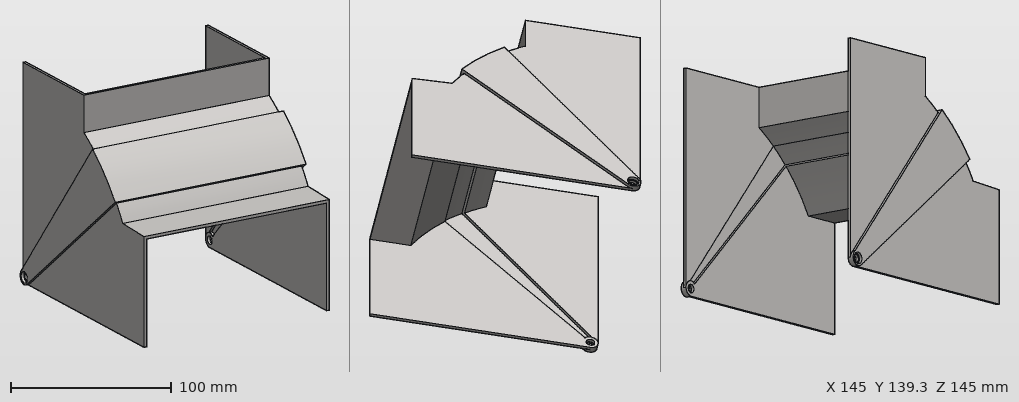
import cadquery as cq
import math

length = 145.0
width = 139.3
wall = 2.0
channel_depth = 73.1
lower_step_height = 74.2
tab_radius = 5.0
hole_radius = 2.68
counterbore_radius = 3.6
shell_radius = 134.0
band_radius = 136.3
band_low_angle = 39.0
band_high_angle = 51.0
seam_angle = 45.5
upper_edge_offset = 3.8

shell_width = width - 2 * wall
inner_width = shell_width - 2 * wall
shell_inner_radius = shell_radius - wall
hinge = (tab_radius, tab_radius)


def polar(radius, angle):
    """Point at a radius and an angle in degrees about the hinge axis, as (X, Z)."""
    a = math.radians(angle)
    return (hinge[0] + radius * math.cos(a), hinge[1] + radius * math.sin(a))


def edge_point(radius, direction, offset):
    """Where a line at a signed offset from the hinge axis meets a circle about that axis."""
    return polar(radius, direction + math.degrees(math.asin(offset / radius)))


def angle_of(point):
    """Angle in degrees of an (X, Z) point about the hinge axis."""
    return math.degrees(math.atan2(point[1] - hinge[1], point[0] - hinge[0]))


def arc_between(sketch, radius, start, end):
    """Continue a sketch with an arc about the hinge axis from start to end."""
    middle = polar(radius, (angle_of(start) + angle_of(end)) / 2)
    return sketch.threePointArc(middle, end)


def profile_at(x, z):
    return cq.Workplane("XZ").moveTo(x, z)


def slab(sketch, depth):
    """Close a sketch and extrude it symmetrically about the XZ plane."""
    return sketch.close().extrude(depth / 2, both=True)


def cylinder(radius, depth):
    return cq.Workplane("XZ").center(*hinge).circle(radius).extrude(depth / 2, both=True)


def upper_profile(roof_x, radius, depth):
    """Upper shell outline, bounded by the front wall at roof_x and by the curved wall."""
    corner = (roof_x, hinge[1] + math.sqrt(radius**2 - (roof_x - hinge[0]) ** 2))
    edge_end = edge_point(radius, band_high_angle, upper_edge_offset)
    edge_start = polar(upper_edge_offset, band_high_angle + 90)
    sketch = profile_at(0, hinge[1]).lineTo(0, length).lineTo(roof_x, length).lineTo(*corner)
    sketch = arc_between(sketch, radius, corner, edge_end)
    return slab(sketch.lineTo(*edge_start), depth)


def lower_profile(step_z, end_z, radius, depth):
    """Lower shell outline; its roof runs from step_z at the curved wall to end_z at the far end."""
    corner = (hinge[0] + math.sqrt(radius**2 - (step_z - hinge[1]) ** 2), step_z)
    seam_end = polar(radius, seam_angle)
    sketch = profile_at(hinge[0], 0).lineTo(length, 0).lineTo(length, end_z)
    sketch = arc_between(sketch.lineTo(*corner), radius, corner, seam_end)
    return slab(sketch.lineTo(*hinge), depth)


def band_profile(radius, depth):
    """Overlap band: a sector whose straight edges run tangent to the hinge tab."""
    low_start = polar(tab_radius, band_low_angle - 90)
    low_end = edge_point(radius, band_low_angle, -tab_radius)
    high_end = edge_point(radius, band_high_angle, tab_radius)
    high_start = polar(tab_radius, band_high_angle + 90)
    sketch = profile_at(*low_start).lineTo(*low_end)
    sketch = arc_between(sketch, radius, low_end, high_end).lineTo(*high_start)
    tab_back = polar(tab_radius, (band_low_angle + band_high_angle) / 2 + 180)
    return slab(sketch.threePointArc(tab_back, low_start), depth)


def make_upper_shell():
    """Upper channel, cut away around the hinge tabs of the lower shell."""
    outside = upper_profile(channel_depth, shell_radius, shell_width)
    inside = upper_profile(channel_depth - wall, shell_inner_radius, inner_width)
    return outside.cut(inside).cut(cylinder(tab_radius, width))


def make_lower_shell():
    """Lower channel with the overlap band outside it and a stepped hinge hole each side."""
    outside = lower_profile(lower_step_height, channel_depth, shell_radius, shell_width)
    outside = outside.union(cylinder(tab_radius, shell_width))
    ceiling = channel_depth - wall
    inside = lower_profile(ceiling, ceiling, shell_inner_radius, inner_width)
    inside = inside.union(cylinder(tab_radius, inner_width))
    channel = outside.cut(inside)
    band = band_profile(band_radius, width).cut(cylinder(shell_radius, shell_width))
    counterbores = cylinder(counterbore_radius, width).cut(cylinder(counterbore_radius, shell_width))
    return channel.union(band).cut(cylinder(hole_radius, width)).cut(counterbores)


upper_shell = make_upper_shell()
lower_shell = make_lower_shell()
result = cq.Compound.makeCompound([upper_shell.val(), lower_shell.val()])